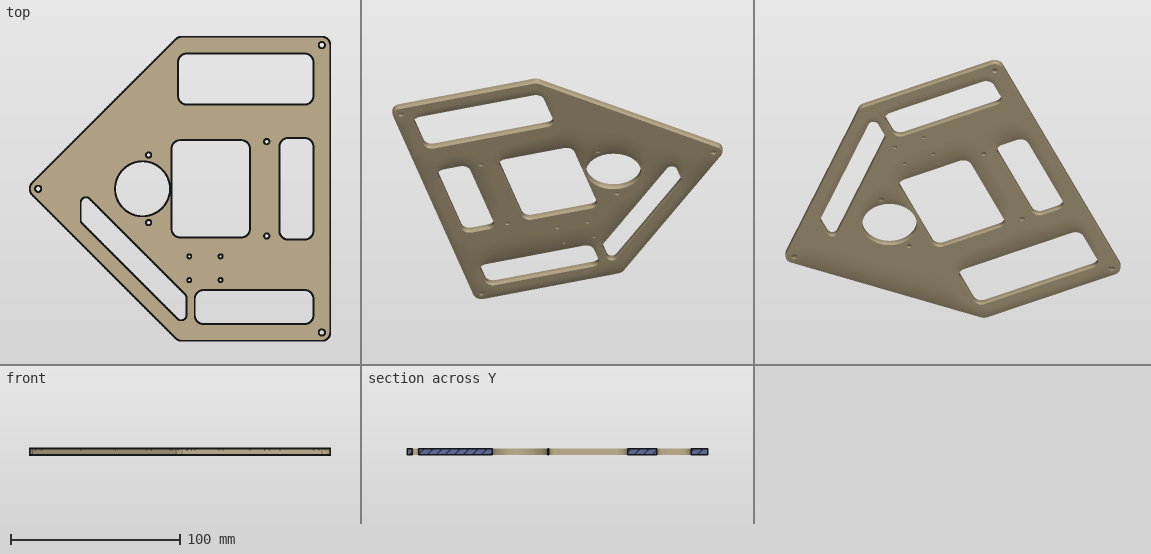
import cadquery as cq
import math

PLATE_LENGTH = 177.8
PLATE_WIDTH = 180.0
PLATE_THICKNESS = 4.0
CORNER_RADIUS = 5.0
FRAME_WIDTH = 10.0

NOSE_X = -CORNER_RADIUS
REAR_X = NOSE_X + PLATE_LENGTH
HALF_WIDTH = PLATE_WIDTH / 2
WINDOW_REAR_X = REAR_X - FRAME_WIDTH

LEFT_WINDOW = (80.0, 30.0)
RIGHT_WINDOW = (70.0, 20.0)
REAR_WINDOW = (20.0, 60.0)
CENTER_WINDOW = (46.3, 57.5)
CENTER_WINDOW_X = 102.0

SLOT_START_X = 25.2
SLOT_END_X = 87.7
SLOT_WIDTH = 13.3
SLOT_WALL = 9.0
SLOT_CORNER_RADIUS = 3.0

ROUND_OPENING_DIAMETER = 32.4
ROUND_OPENING_X = 61.7
ROUND_MOUNT_X = 65.3
ROUND_MOUNT_SPACING = 40.0

CORNER_HOLE_DIAMETER = 3.6
MOUNT_HOLE_DIAMETER = 3.0
REAR_MOUNT_X = 135.2
REAR_MOUNT_SPACING = 55.8
BOARD_HOLE_DIAMETER = 2.3
BOARD_HOLE_CENTER = (98.6, -47.0)
BOARD_HOLE_SPACING = (18.5, 14.0)


def plate():
    """Five-sided plate with a 45 degree nose and rounded corners."""
    tip_x = -CORNER_RADIUS * math.sqrt(2)
    shoulder_x = tip_x + HALF_WIDTH
    outline = [
        (tip_x, 0),
        (shoulder_x, -HALF_WIDTH),
        (REAR_X, -HALF_WIDTH),
        (REAR_X, HALF_WIDTH),
        (shoulder_x, HALF_WIDTH),
    ]
    body = cq.Workplane("XY").polyline(outline).close().extrude(PLATE_THICKNESS)
    return body.edges("|Z").fillet(CORNER_RADIUS)


def window(size, center):
    """Cutter for a rectangular window with rounded corners."""
    block = cq.Workplane("XY").center(*center).rect(*size).extrude(PLATE_THICKNESS)
    return block.edges("|Z").fillet(CORNER_RADIUS)


def slanted_slot():
    """Cutter for the slot that runs parallel to the diagonal edge."""
    outer_sum = (SLOT_WALL - CORNER_RADIUS) * math.sqrt(2)
    inner_sum = outer_sum + SLOT_WIDTH * math.sqrt(2)
    outline = [
        (SLOT_START_X, outer_sum - SLOT_START_X),
        (SLOT_END_X, outer_sum - SLOT_END_X),
        (SLOT_END_X, inner_sum - SLOT_END_X),
        (SLOT_START_X, inner_sum - SLOT_START_X),
    ]
    block = cq.Workplane("XY").polyline(outline).close().extrude(PLATE_THICKNESS)
    return block.edges("|Z").fillet(SLOT_CORNER_RADIUS)


def holes(diameter, centers):
    """Cutter for round through holes of one diameter."""
    return cq.Workplane("XY").pushPoints(centers).circle(diameter / 2).extrude(PLATE_THICKNESS)


def mirrored_pair(x, spacing):
    """Two points at the same x, placed evenly about the X axis."""
    return [(x, -spacing / 2), (x, spacing / 2)]


def board_hole_centers():
    """Corners of the rectangular four-hole pattern."""
    center_x, center_y = BOARD_HOLE_CENTER
    half_x = BOARD_HOLE_SPACING[0] / 2
    half_y = BOARD_HOLE_SPACING[1] / 2
    return [(center_x + i * half_x, center_y + j * half_y) for i in (-1, 1) for j in (-1, 1)]


corner_holes = [(0, 0)] + mirrored_pair(REAR_X - CORNER_RADIUS, PLATE_WIDTH - 2 * CORNER_RADIUS)
mount_holes = mirrored_pair(ROUND_MOUNT_X, ROUND_MOUNT_SPACING)
mount_holes += mirrored_pair(REAR_MOUNT_X, REAR_MOUNT_SPACING)
window_side_y = HALF_WIDTH - FRAME_WIDTH

cutters = [
    window(LEFT_WINDOW, (WINDOW_REAR_X - LEFT_WINDOW[0] / 2, window_side_y - LEFT_WINDOW[1] / 2)),
    window(RIGHT_WINDOW, (WINDOW_REAR_X - RIGHT_WINDOW[0] / 2, RIGHT_WINDOW[1] / 2 - window_side_y)),
    window(REAR_WINDOW, (WINDOW_REAR_X - REAR_WINDOW[0] / 2, 0)),
    window(CENTER_WINDOW, (CENTER_WINDOW_X, 0)),
    slanted_slot(),
    holes(ROUND_OPENING_DIAMETER, [(ROUND_OPENING_X, 0)]),
    holes(CORNER_HOLE_DIAMETER, corner_holes),
    holes(MOUNT_HOLE_DIAMETER, mount_holes),
    holes(BOARD_HOLE_DIAMETER, board_hole_centers()),
]

result = plate()
for cutter in cutters:
    result = result.cut(cutter)